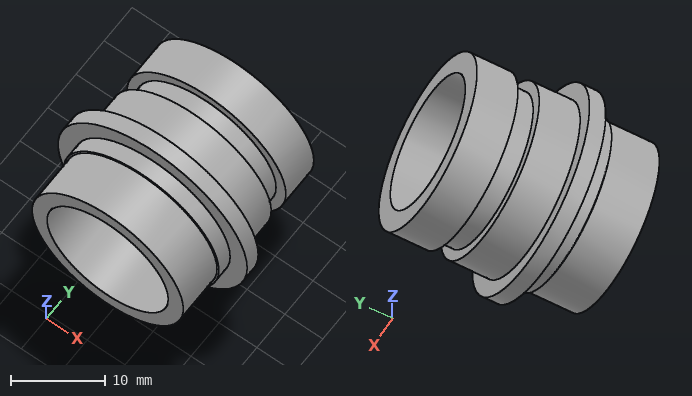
import cadquery as cq

bore_diameter = 16.0
spigot_diameter = 20.0
shoulder_diameter = 20.5
flange_diameter = 25.0
body_diameter = 21.0
groove_diameter = 18.4

spigot_length = 6.0
shoulder_length = 2.0
flange_thickness = 2.0
land_length = 5.0
groove_width = 2.6

sections = [
    (spigot_diameter, spigot_length),
    (shoulder_diameter, shoulder_length),
    (flange_diameter, flange_thickness),
    (body_diameter, land_length),
    (groove_diameter, groove_width),
    (body_diameter, land_length),
]
total_length = sum(length for _, length in sections)


def cylinder_along_y(diameter, start, length):
    """Cylinder on the Y axis, running from start towards +Y."""
    return cq.Workplane("XZ", origin=(0, start, 0)).circle(diameter / 2).extrude(-length)


def stepped_body():
    """Solid stack of the coaxial sections, centred along Y."""
    body = cq.Workplane("XZ")
    start = -total_length / 2
    for diameter, length in sections:
        body = body.union(cylinder_along_y(diameter, start, length))
        start += length
    return body


bore = cylinder_along_y(bore_diameter, -total_length / 2, total_length)
result = stepped_body().cut(bore)